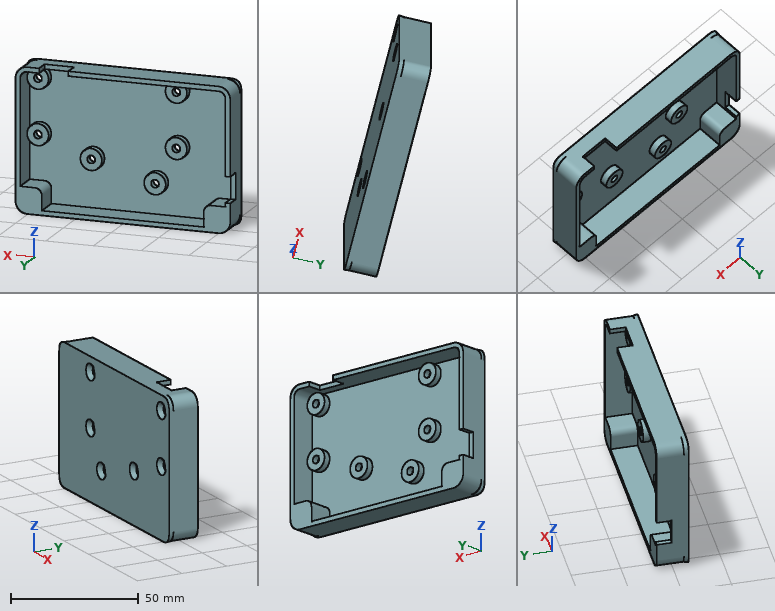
import cadquery as cq
import math

length = 90.0
depth = 13.0
height = 60.0
wall = 2.0
floor = 2.0
corner_radius = 4.95
front_corner_inset = 1.2
inner_radius = corner_radius - wall

front_y = -depth / 2
floor_top_y = front_y + floor
rim_y = depth / 2

hole_diameter = 3.2
countersink_diameter = 7.0
countersink_angle = 90

standoff_radius = 4.5
standoff_height = 3.1
standoff_spacing_x = 58.0
standoff_spacing_z = 23.0
standoff_right = length / 2 - wall - standoff_radius
standoff_top = height / 2 - wall - standoff_radius
standoff_points = [
    (x, z)
    for x in (standoff_right - standoff_spacing_x, standoff_right)
    for z in (standoff_top - standoff_spacing_z, standoff_top)
]
standoff_points += [(-10.5, -14.8), (16.2, -7.5)]

pillar_size = 9.1
pillar_edge_radius = 3.0

top_notch_left = 22.9
top_notch_width = 12.2
top_notch_depth = 6.4
side_notch_bottom = -17.3
side_notch_height = 10.8
side_notch_depth = 6.0


def plane_at(y):
    """XZ plane at the given Y; its normal points toward -Y."""
    return cq.Workplane("XZ", origin=(0, y, 0))


def rounded_outline(size_x, size_z, radius):
    return cq.Sketch().rect(size_x, size_z).vertices().fillet(radius)


def wall_ring():
    """Walls standing on the floor, with concentric inner and outer corners."""
    wall_height = rim_y - floor_top_y
    outside = rounded_outline(length, height, corner_radius)
    inside = rounded_outline(length - 2 * wall, height - 2 * wall, inner_radius)
    start = plane_at(floor_top_y)
    return start.placeSketch(outside).extrude(-wall_height).cut(
        start.placeSketch(inside).extrude(-wall_height)
    )


def plate_wire(y, corner_inset):
    """Outline at the given Y; each corner curve passes corner_inset from both of its sides."""
    half_x = length / 2
    half_z = height / 2
    outline = plane_at(y).moveTo(half_x, corner_radius - half_z)
    corners = [
        (1, 1, (0, 1), (-1, 0)),
        (-1, 1, (-1, 0), (0, -1)),
        (-1, -1, (0, -1), (1, 0)),
        (1, -1, (1, 0), (0, 1)),
    ]
    for sign_x, sign_z, enter, leave in corners:
        corner_x = sign_x * half_x
        corner_z = sign_z * half_z
        start = (corner_x - corner_radius * enter[0], corner_z - corner_radius * enter[1])
        middle = (corner_x - sign_x * corner_inset, corner_z - sign_z * corner_inset)
        end = (corner_x + corner_radius * leave[0], corner_z + corner_radius * leave[1])
        outline = outline.lineTo(*start).spline([middle, end], tangents=[enter, leave], includeCurrent=True)
    return outline.wire().val()


def floor_plate():
    """Floor whose corners swell from the wall radius to a fuller curve at the front."""
    arc_inset = corner_radius * (1 - math.sqrt(0.5))
    front = plate_wire(front_y, front_corner_inset)
    back = plate_wire(floor_top_y, arc_inset)
    return cq.Workplane(cq.Solid.makeLoft([front, back], True))


def standoffs():
    """Round posts rising from the floor, rooted halfway into it."""
    root = floor / 2
    start = plane_at(floor_top_y - root).pushPoints(standoff_points)
    return start.circle(standoff_radius).extrude(-(root + standoff_height))


def pillar(side):
    """Square pillar in the lower corner at -X (side -1) or +X (side 1), rounded on its free edge."""
    root = floor / 2
    center_x = side * (length / 2 - wall - pillar_size / 2)
    center_z = -(height / 2 - wall - pillar_size / 2)
    block = plane_at(floor_top_y - root).center(center_x, center_z).rect(pillar_size, pillar_size)
    block = block.extrude(floor_top_y - root - rim_y)
    free_edge = ">Z and <X" if side > 0 else ">Z and >X"
    return block.edges("|Y").edges(free_edge).fillet(pillar_edge_radius)


def drill_holes(body):
    """Countersunk holes through the floor and the standoffs."""
    return (
        plane_at(front_y)
        .add(body)
        .pushPoints(standoff_points)
        .cskHole(hole_diameter, countersink_diameter, countersink_angle)
    )


def rim_notch(left, bottom, size_x, size_z, notch_depth):
    """Box reaching from the rim toward the floor."""
    notch = cq.Workplane("XY").box(size_x, notch_depth, size_z, centered=False)
    return notch.translate((left, rim_y - notch_depth, bottom))


top_notch = rim_notch(top_notch_left, height / 2 - wall, top_notch_width, wall, top_notch_depth)
side_notch = rim_notch(-length / 2, side_notch_bottom, wall, side_notch_height, side_notch_depth)

case = floor_plate().union(wall_ring())
case = case.union(standoffs())
for side in (-1, 1):
    case = case.union(pillar(side))
case = drill_holes(case)
result = case.cut(top_notch).cut(side_notch)